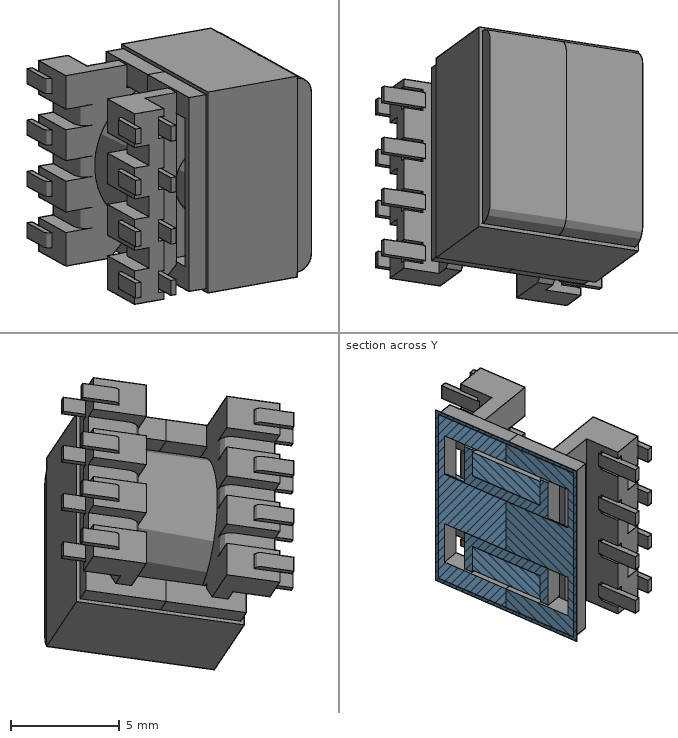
import cadquery as cq


core_length = 7.76
core_height = 9.44
core_back = 4.69
core_depth = 6.5
core_front = core_back - core_depth
core_back_radius = 0.8
bore_radius = 3.61
pole_radius = 1.7
end_wall = 0.36
half_length = core_length / 2
half_cavity = half_length - end_wall

tape_thickness = 0.17
tape_width = 4.75
tape_setback = 0.9
tape_front = core_front + tape_setback

winding_radius = 3.52
tube_radius = 2.2

flange_inner_x = 1.945
flange_thickness = 0.77
cheek_thickness = 0.45
cheek_outer_x = flange_inner_x + cheek_thickness
foot_outer_x = 4.5
bobbin_height = 9.27
half_height = bobbin_height / 2
flange_chamfer = 0.91
foot_back = -3.49
foot_front = -5.05

pin_count = 4
pin_pitch = 2.5
pin_width = 0.73
pin_thickness = 0.28
pin_bend_x = 3.255
pin_bend_radius = 0.32
pin_tip_span = 11.09
pin_back_tip_x = pin_tip_span / 2
pin_front_tip_x = 5.09
pin_rise = 0.05
pin_back = foot_back + pin_rise
pin_front = foot_front - pin_thickness
notch_width = 1.0
notch_depth = 0.77
notch_radius = 0.63
slot_width = 1.03
slot_depth = 0.28
slot_inner_x = pin_bend_x + pin_thickness


def block(x_range, y_range, z_range):
    """Box between the given pairs of limits."""
    lows = [min(pair) for pair in (x_range, y_range, z_range)]
    sizes = [abs(pair[1] - pair[0]) for pair in (x_range, y_range, z_range)]
    return cq.Workplane("XY").box(*sizes, centered=False).translate(tuple(lows))


def x_cylinder(radius, x_start, x_end):
    """Cylinder on the winding axis between two X positions."""
    return cq.Workplane("YZ").workplane(offset=x_start).circle(radius).extrude(x_end - x_start)


def u_block(radius, x_start, x_end):
    """Round about the winding axis, running straight out to the core's front face."""
    straight = block((x_start, x_end), (core_front, 0), (-radius, radius))
    return x_cylinder(radius, x_start, x_end).union(straight)


def centred_row(count):
    """Z positions of a row of evenly pitched features centred on Z = 0."""
    return [(i - (count - 1) / 2) * pin_pitch for i in range(count)]


def make_core_half():
    """+X half: shell open at the front, with its centre pole."""
    shell = block((0, half_length), (core_front, core_back), (-core_height / 2, core_height / 2))
    shell = shell.edges("|X and >Y").fillet(core_back_radius)
    shell = shell.cut(u_block(bore_radius, 0, half_cavity))
    return shell.union(x_cylinder(pole_radius, 0, half_cavity))


def make_tape():
    """Closed rectangular band around the core."""
    wrap = 2 * tape_thickness
    return (
        cq.Workplane("XZ", origin=(0, tape_front, 0))
        .rect(core_length + wrap, core_height + wrap)
        .rect(core_length, core_height)
        .extrude(-tape_width)
    )


def make_winding():
    """Copper filling the space between the flanges, around the tube."""
    solid = x_cylinder(winding_radius, -flange_inner_x, flange_inner_x)
    return solid.cut(x_cylinder(tube_radius, -flange_inner_x, flange_inner_x))


def make_notch(z):
    """Cutter for a wire notch whose floor rolls over into the flange's inner face."""
    floor = foot_front + notch_depth
    return (
        cq.Workplane("XY", origin=(0, 0, z - notch_width / 2))
        .moveTo(flange_inner_x, foot_front)
        .lineTo(foot_outer_x, foot_front)
        .lineTo(foot_outer_x, floor)
        .lineTo(flange_inner_x + notch_radius, floor)
        .radiusArc((flange_inner_x, floor + notch_radius), notch_radius)
        .close()
        .extrude(notch_width)
    )


def make_pin(z):
    """C-shaped pin: a front leg to solder, a back leg for the wire, joined inside the foot."""
    bend_start_x = pin_bend_x + pin_bend_radius
    return (
        cq.Workplane("XY", origin=(0, 0, z - pin_width / 2))
        .moveTo(pin_front_tip_x, pin_front)
        .lineTo(bend_start_x, pin_front)
        .radiusArc((pin_bend_x, pin_front + pin_bend_radius), pin_bend_radius)
        .lineTo(pin_bend_x, pin_back - pin_bend_radius)
        .radiusArc((bend_start_x, pin_back), pin_bend_radius)
        .lineTo(pin_back_tip_x, pin_back)
        .lineTo(pin_back_tip_x, pin_back - pin_thickness)
        .lineTo(slot_inner_x, pin_back - pin_thickness)
        .lineTo(slot_inner_x, foot_front)
        .lineTo(pin_front_tip_x, foot_front)
        .close()
        .extrude(pin_width)
    )


def make_bobbin_side():
    """+X flange, its thinner cheek inside the core, and its foot with notches, slots and pins."""
    plate = (
        cq.Workplane("YZ", origin=(flange_inner_x, 0, 0))
        .moveTo(core_front, half_height)
        .lineTo(foot_back, half_height)
        .lineTo(foot_back, -half_height)
        .lineTo(core_front - flange_chamfer, -half_height)
        .lineTo(core_front, -half_height + flange_chamfer)
        .close()
        .extrude(flange_thickness)
    )
    foot = block((flange_inner_x, foot_outer_x), (foot_front, foot_back), (-half_height, half_height))
    cheek = u_block(winding_radius, flange_inner_x, cheek_outer_x)
    side = cheek.union(plate).union(foot)
    for z in centred_row(pin_count - 1):
        side = side.cut(make_notch(z))
    for z in centred_row(pin_count):
        slot_z = (z - slot_width / 2, z + slot_width / 2)
        side = side.cut(block((slot_inner_x, foot_outer_x), (foot_back - slot_depth, foot_back), slot_z))
        side = side.union(make_pin(z))
    return side


def make_bobbin():
    """Tube with a flange, foot and row of pins at each end, bored for the core's pole."""
    side = make_bobbin_side()
    tube = x_cylinder(tube_radius, -cheek_outer_x, cheek_outer_x)
    body = tube.union(side).union(side.mirror("YZ"))
    return body.cut(x_cylinder(pole_radius, -cheek_outer_x, cheek_outer_x))


core_right = make_core_half()
core_left = core_right.mirror("YZ")
tape = make_tape()
winding = make_winding()
bobbin = make_bobbin()

result = cq.Compound.makeCompound(
    [core_right.val(), core_left.val(), tape.val(), winding.val(), bobbin.val()]
)